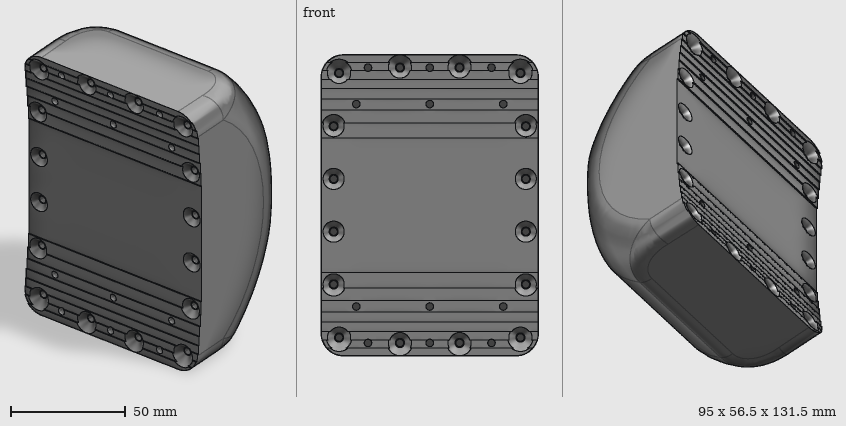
import cadquery as cq
import math

width = 95.0
depth = 56.5
height = 131.5
front_y = -depth / 2

crown_radius = 88.2
crown_centre_y = -48.1
side_fillet = 20.0
end_fillet = 10.0

step_depth = 0.5
curve_steps = 10
step_count = 8
floor_steps = curve_steps - step_count
floor_y = front_y + step_count * step_depth

sink_floor_diameter = 4.0
shank_diameter = 3.3
shank_depth = 10.0
side_screw_x = 42.0
corner_screw_x = 39.6
corner_screw_z = 57.7
side_screw_pitch = 23.0
end_screw_x = 13.0
end_row_z = 60.1
side_sink_diameter = 9.2
corner_sink_diameter = 10.1
end_sink_diameter = 10.1

pin_diameter = 3.3
pin_depth = 10.0
outer_pin_x = 27.0
inner_pin_x = 32.1
inner_pin_z = 44.2


def terrace_edge(step):
    """Distance from mid-height at which the front curve has risen by this many steps."""
    return height / 2 * math.sqrt(step / curve_steps)


def terrace_y(z):
    """Y of the front terrace at distance z from mid-height."""
    passed = int(curve_steps * (2 * z / height) ** 2)
    return floor_y - step_depth * max(0, passed - floor_steps + 1)


def make_body():
    arc_end_y = crown_centre_y + math.sqrt(crown_radius**2 - (height / 2) ** 2)
    crown_y = crown_centre_y + crown_radius
    body = (
        cq.Workplane("YZ")
        .moveTo(front_y, -height / 2)
        .lineTo(arc_end_y, -height / 2)
        .threePointArc((crown_y, 0), (arc_end_y, height / 2))
        .lineTo(front_y, height / 2)
        .close()
        .extrude(width / 2, both=True)
    )
    body = body.faces("<X or >X").edges("%CIRCLE").fillet(side_fillet)
    body = body.faces("<Z or >Z").edges("not <Y").fillet(end_fillet)
    return body.intersect(cq.Workplane("XY").box(width, depth, height))


def cut_terraces(body):
    for level in range(step_count):
        half_height = terrace_edge(floor_steps + level)
        step_y = floor_y - level * step_depth
        slab = cq.Workplane("XY").box(width, step_y - front_y, 2 * half_height)
        body = body.cut(slab.translate((0, (step_y + front_y) / 2, 0)))
    return body


def screw_cutter(x, z, sink_diameter):
    """Countersink of the given diameter at the local terrace, open to the front."""
    sink_radius = sink_diameter / 2
    shank_radius = shank_diameter / 2
    floor_radius = sink_floor_diameter / 2
    surface_y = terrace_y(abs(z))
    mouth_y = front_y - step_depth
    mouth_radius = sink_radius + surface_y - mouth_y
    sink_y = surface_y + sink_radius - floor_radius
    end_y = sink_y + shank_depth
    cutter = (
        cq.Workplane("YZ")
        .moveTo(mouth_y, 0)
        .lineTo(mouth_y, -mouth_radius)
        .lineTo(sink_y, -floor_radius)
        .lineTo(sink_y, -shank_radius)
        .lineTo(end_y, -shank_radius)
        .lineTo(end_y, 0)
        .close()
        .revolve(360, (0, 0, 0), (1, 0, 0))
    )
    return cutter.translate((x, 0, z))


def pin_cutter(x, z):
    length = terrace_y(abs(z)) + pin_depth - front_y
    plane = cq.Workplane("XZ", origin=(x, front_y, z))
    return plane.circle(pin_diameter / 2).extrude(-length)


def cut_screw_holes(body):
    for side in (-1, 1):
        for row in (-1.5, -0.5, 0.5, 1.5):
            body = body.cut(screw_cutter(side * side_screw_x, row * side_screw_pitch, side_sink_diameter))
        for end in (-1, 1):
            body = body.cut(screw_cutter(side * corner_screw_x, end * corner_screw_z, corner_sink_diameter))
            body = body.cut(screw_cutter(side * end_screw_x, end * end_row_z, end_sink_diameter))
    return body


def cut_pin_holes(body):
    for end in (-1, 1):
        for column in (-1, 0, 1):
            body = body.cut(pin_cutter(column * outer_pin_x, end * end_row_z))
            body = body.cut(pin_cutter(column * inner_pin_x, end * inner_pin_z))
    return body


result = cut_pin_holes(cut_screw_holes(cut_terraces(make_body())))